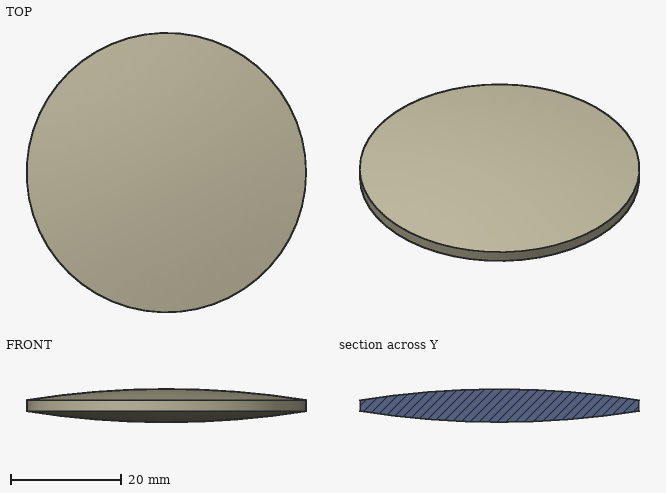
import cadquery as cq

diameter = 50.8
center_thickness = 6.1
edge_thickness = 2.05

radius = diameter / 2
half_center = center_thickness / 2
half_edge = edge_thickness / 2
dome_rise = half_center - half_edge
sphere_radius = (radius**2 + dome_rise**2) / (2 * dome_rise)

mid_x = radius / 2
mid_z = half_center - sphere_radius + (sphere_radius**2 - mid_x**2) ** 0.5

half_section = (
    cq.Workplane("XZ")
    .moveTo(0, -half_center)
    .threePointArc((mid_x, -mid_z), (radius, -half_edge))
    .lineTo(radius, half_edge)
    .threePointArc((mid_x, mid_z), (0, half_center))
    .close()
)

result = half_section.revolve(360, (0, 0, 0), (0, 1, 0))